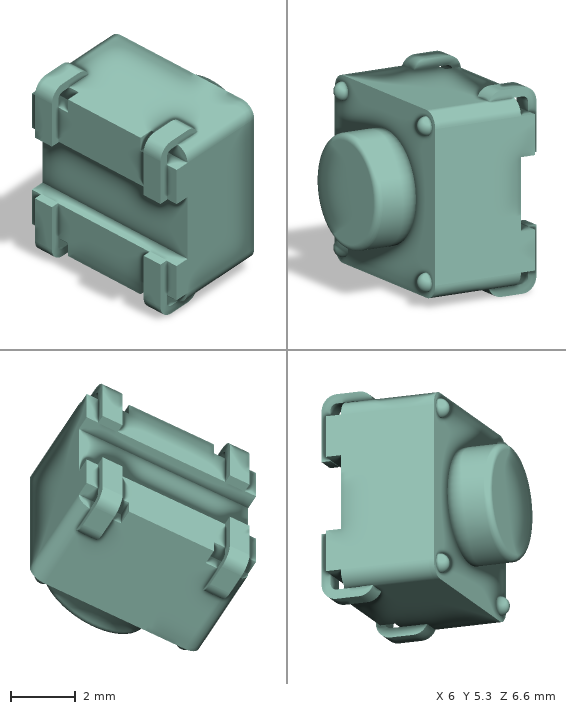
import cadquery as cq
import math

overall_height = 6.6
overall_depth = 5.3
body_side = 6.0
body_depth = 3.6
corner_radius = 0.5
cover_thickness = 0.165

channel_width = 2.375
recess_depth = 0.5
notch_width = 1.5

lead_width = 0.7
lead_bend_radius = 0.5
lead_straight = 0.745
lead_tip_gap = 2.32

button_diameter = 3.695
button_edge_radius = 0.2
rivet_radius = 0.305

half_side = body_side / 2
half_height = overall_height / 2
lead_thickness = (overall_height - body_side) / 2
lead_inner_radius = lead_bend_radius - lead_thickness
button_height = overall_depth - lead_thickness - body_depth
cover_start = body_depth - cover_thickness
lead_offset = half_side - notch_width / 2
rivet_offset = half_side - corner_radius
side_signs = (-1, 1)


def rounded_block(start, depth):
    """Square block with rounded corners, running from Y = start towards +Y."""
    block = cq.Workplane("XY").box(body_side, depth, body_side, centered=(True, False, True))
    return block.edges("|Y").fillet(corner_radius).translate((0, start, 0))


def make_lead(x_sign, z_sign):
    """Strip folded from the mounting face over the housing edge and back into the housing wall."""
    front = -lead_thickness
    tip = lead_tip_gap / 2
    bend_z = half_height - lead_bend_radius
    first_bend_y = front + lead_bend_radius
    second_bend_y = first_bend_y + lead_straight
    outer_diagonal = lead_bend_radius * math.sqrt(0.5)
    inner_diagonal = lead_inner_radius * math.sqrt(0.5)
    profile = (
        cq.Workplane("YZ")
        .moveTo(front, tip)
        .lineTo(front, bend_z)
        .threePointArc((first_bend_y - outer_diagonal, bend_z + outer_diagonal), (first_bend_y, half_height))
        .lineTo(second_bend_y, half_height)
        .threePointArc(
            (second_bend_y + outer_diagonal, bend_z + outer_diagonal),
            (second_bend_y + lead_bend_radius, bend_z),
        )
        .lineTo(second_bend_y + lead_inner_radius, bend_z)
        .threePointArc(
            (second_bend_y + inner_diagonal, bend_z + inner_diagonal),
            (second_bend_y, half_side),
        )
        .lineTo(first_bend_y, half_side)
        .threePointArc((first_bend_y - inner_diagonal, bend_z + inner_diagonal), (0, bend_z))
        .lineTo(0, tip)
        .close()
    )
    lead = profile.extrude(lead_width / 2, both=True)
    if z_sign < 0:
        lead = lead.mirror("XY")
    return lead.translate((x_sign * lead_offset, 0, 0))


def make_housing(leads):
    """Block with a channel, four corner notches and matching seats for the leads."""
    housing = rounded_block(0, cover_start)
    channel = cq.Workplane("XY").box(body_side, recess_depth, channel_width, centered=(True, False, True))
    housing = housing.cut(channel)
    notch = cq.Workplane("XY").box(notch_width, recess_depth, recess_depth, centered=(True, False, True))
    notch_z = half_side - recess_depth / 2
    for x_sign in side_signs:
        for z_sign in side_signs:
            housing = housing.cut(notch.translate((x_sign * lead_offset, 0, z_sign * notch_z)))
    for lead in leads:
        housing = housing.cut(lead)
    return housing


def make_cover():
    """Thin plate with a domed rivet head at each corner."""
    cover = rounded_block(cover_start, cover_thickness)
    dome = cq.Workplane("XZ").sphere(rivet_radius, angle1=-90, angle2=0)
    for x_sign in side_signs:
        for z_sign in side_signs:
            place = (x_sign * rivet_offset, body_depth, z_sign * rivet_offset)
            cover = cover.union(dome.translate(place))
    return cover


def make_button():
    """Round button with a rounded rim, standing on the cover."""
    button = cq.Workplane("XZ").circle(button_diameter / 2).extrude(-button_height)
    return button.faces(">Y").edges().fillet(button_edge_radius).translate((0, body_depth, 0))


leads = [make_lead(x_sign, z_sign) for x_sign in side_signs for z_sign in side_signs]
housing = make_housing(leads)
cover = make_cover()
button = make_button()

result = cq.Compound.makeCompound(
    [housing.val(), cover.val(), button.val(), *[lead.val() for lead in leads]]
)